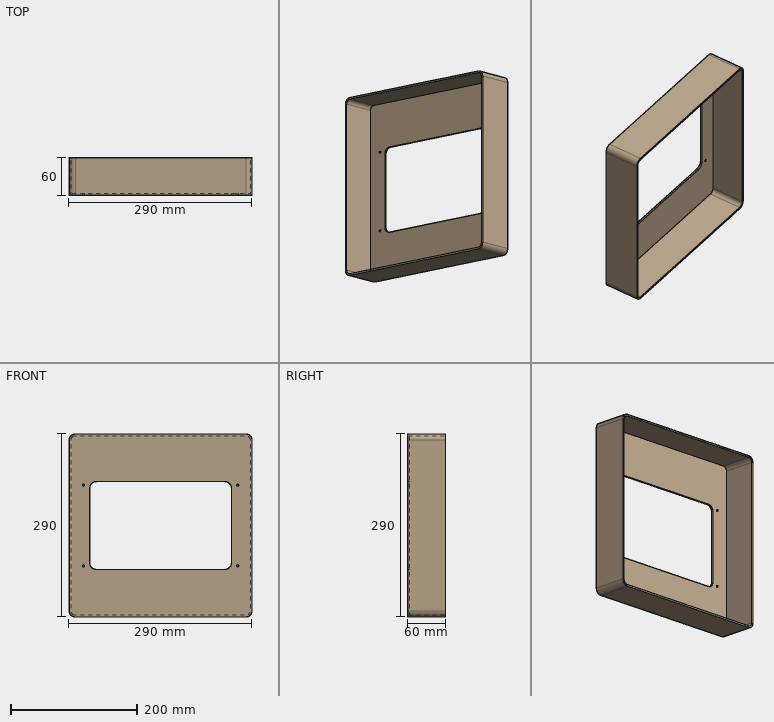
import cadquery as cq

side = 290.0
depth = 60.0
corner_radius = 10.0

front_thickness = 3.2
wall_thickness = 3.0

window_width = 224.0
window_height = 138.5
window_radius = 10.0

hole_diameter = 3.0
hole_spacing_x = 244.5
hole_spacing_z = 128.0


def rounded_block(width, height, radius, y_start, y_end):
    """Block centred on the Y axis, with its four long edges rounded."""
    length = y_end - y_start
    block = cq.Workplane("XY").box(width, length, height)
    return block.edges("|Y").fillet(radius).translate((0, y_start + length / 2, 0))


front_y = -depth / 2
back_y = depth / 2
plate_back_y = front_y + front_thickness

housing = rounded_block(side, side, corner_radius, front_y, back_y)
cavity_side = side - 2 * wall_thickness
cavity_radius = corner_radius - wall_thickness
cavity = rounded_block(cavity_side, cavity_side, cavity_radius, plate_back_y, back_y)

window = rounded_block(window_width, window_height, window_radius, front_y, plate_back_y)
screw_holes = (
    cq.Workplane("XZ", origin=(0, front_y, 0))
    .rarray(hole_spacing_x, hole_spacing_z, 2, 2)
    .circle(hole_diameter / 2)
    .extrude(-front_thickness)
)

result = housing.cut(cavity).cut(window).cut(screw_holes)